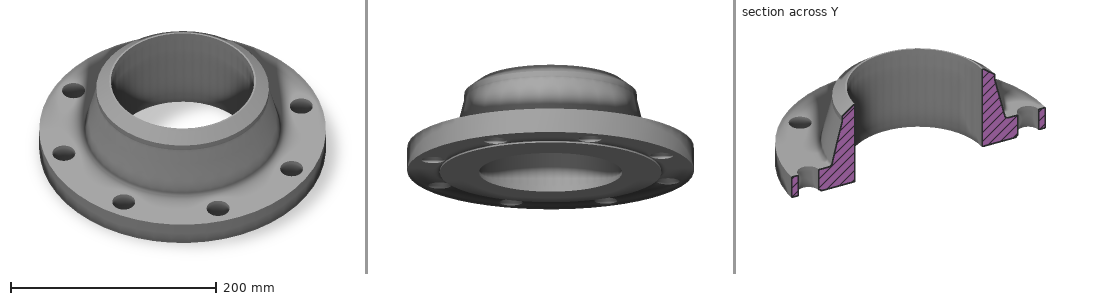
import cadquery as cq
import math


flange_diameter = 279.3
flange_top = 25.5
raised_face_diameter = 216.0
raised_face_height = 1.7

bolt_count = 8
bolt_circle_diameter = 241.3
bolt_hole_diameter = 22.3

total_height = 88.8
hub_base_diameter = 192.0
hub_base_fillet = 3.0

bore_diameter = 139.7
weld_end_diameter = 168.2
weld_end_length = 15.6
weld_land_width = 1.7
weld_bevel_angle = 37.5

weld_end_radius = weld_end_diameter / 2
weld_land_radius = bore_diameter / 2 + weld_land_width
bevel_height = (weld_end_radius - weld_land_radius) * math.tan(math.radians(weld_bevel_angle))


def disc(diameter, bottom, top):
    """Solid cylinder on the Z axis between two heights."""
    return cq.Workplane("XY").workplane(offset=bottom).circle(diameter / 2).extrude(top - bottom)


def flange_plate():
    """Round plate with the raised sealing face beneath it."""
    raised_face = disc(raised_face_diameter, 0, raised_face_height)
    return disc(flange_diameter, raised_face_height, flange_top).union(raised_face)


def hub():
    """Cone rising from the plate to a short straight end with a bevelled rim."""
    half_profile = [
        (0, flange_top),
        (hub_base_diameter / 2, flange_top),
        (weld_end_radius, total_height - weld_end_length),
        (weld_end_radius, total_height - bevel_height),
        (weld_land_radius, total_height),
        (0, total_height),
    ]
    return cq.Workplane("XZ").polyline(half_profile).close().revolve(360, (0, 0, 0), (0, 1, 0))


def bolt_holes():
    """Cutters for the ring of through holes, the first one on the +X axis."""
    return (
        cq.Workplane("XY")
        .polarArray(bolt_circle_diameter / 2, 0, 360, bolt_count)
        .circle(bolt_hole_diameter / 2)
        .extrude(flange_top)
    )


body = flange_plate().union(hub())

hub_foot = cq.selectors.RadiusNthSelector(2)
body = body.edges("%CIRCLE").edges(hub_foot).fillet(hub_base_fillet)

result = body.cut(disc(bore_diameter, 0, total_height)).cut(bolt_holes())